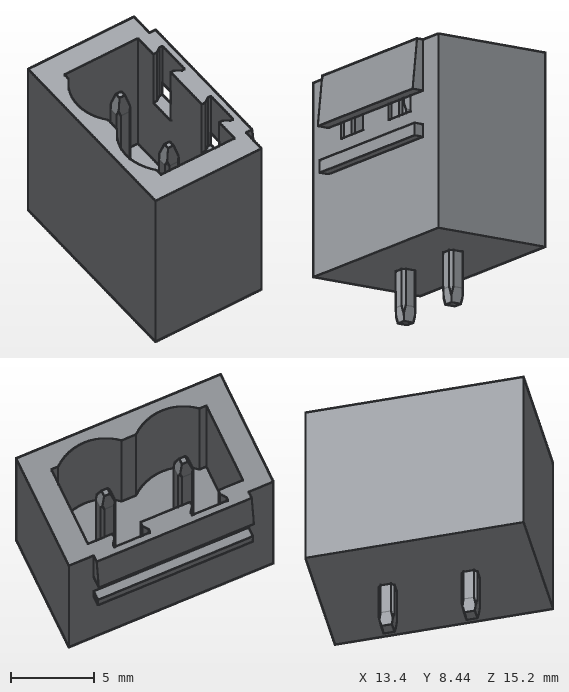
import cadquery as cq
import math

pin_count = 2
pitch = 5.08

housing_width = 13.36
housing_depth = 7.68
housing_height = 12.01
socket_width = 10.12
socket_front = 1.52
socket_back = 6.84
socket_floor = 3.04
bay_radius = 3.1

slot_inner_width = 1.82
slot_outer_width = 2.34
slot_floor = 7.87
slot_neck_depth = 0.27
slot_outer_depth = 0.21

ridge_bottom = 8.85
ridge_top_reach = 0.44
ridge_bottom_reach = 0.76
rib_bottom = 5.99
rib_height = 0.78
rib_reach = 0.62

pin_width = 1.0
pin_chamfer = 0.18
pin_y = 3.83
pin_bottom = -3.19
pin_top = 11.08
tail_tip_width = 0.67
tail_taper = 0.95
contact_tip_width = 0.4
contact_taper = 1.2

pin_positions = [(i - (pin_count - 1) / 2) * pitch for i in range(pin_count)]


def make_socket():
    """Rectangular socket with a round bay in front of every pin."""
    height = housing_height - socket_floor
    bottom = cq.Workplane("XY", origin=(0, 0, socket_floor))
    socket = bottom.center(0, (socket_front + socket_back) / 2).rect(
        socket_width, socket_back - socket_front
    ).extrude(height)
    half_chord = math.sqrt(bay_radius**2 - (pin_y - socket_front) ** 2)
    for x in pin_positions:
        bay = bottom.moveTo(x - half_chord, socket_front).threePointArc(
            (x, pin_y - bay_radius), (x + half_chord, socket_front)
        ).close().extrude(height)
        socket = socket.union(bay)
    return socket


def make_slot(x):
    """Key slot that widens towards the back face of the housing."""
    inner = slot_inner_width / 2
    outer = slot_outer_width / 2
    flare_start = socket_back + slot_neck_depth
    flare_end = housing_depth - slot_outer_depth
    right_side = [(inner, socket_back), (inner, flare_start), (outer, flare_end), (outer, housing_depth)]
    left_side = [(-half_width, y) for half_width, y in reversed(right_side)]
    profile = cq.Workplane("XY", origin=(x, 0, slot_floor)).polyline(right_side + left_side).close()
    return profile.extrude(housing_height - slot_floor)


def make_ridge():
    """Latch ridge whose back face leans outwards towards its lower edge."""
    profile = [
        (housing_depth, ridge_bottom),
        (housing_depth + ridge_bottom_reach, ridge_bottom),
        (housing_depth + ridge_top_reach, housing_height),
        (housing_depth, housing_height),
    ]
    return cq.Workplane("YZ").polyline(profile).close().extrude(socket_width / 2, both=True)


def make_rib():
    """Plain rib below the latch ridge."""
    rib = cq.Workplane("XY").box(socket_width, rib_reach, rib_height, centered=(True, False, False))
    return rib.translate((0, housing_depth, rib_bottom))


def make_taper(x, z, start_width, end_width, height):
    """Square frustum from start_width at z to end_width at z + height."""
    start = cq.Workplane("XY", origin=(x, pin_y, z)).rect(start_width, start_width)
    return start.workplane(offset=height).rect(end_width, end_width).loft(ruled=True)


def make_pin(x):
    """Square pin with chamfered long edges and a tapered point at each end."""
    length = pin_top - pin_bottom
    bar = cq.Workplane("XY", origin=(x, pin_y, pin_bottom)).rect(pin_width, pin_width).extrude(length)
    bar = bar.edges("|Z").chamfer(pin_chamfer)
    shank_bottom = pin_bottom + tail_taper
    shank_top = pin_top - contact_taper
    envelope = make_taper(x, shank_bottom, pin_width, pin_width, shank_top - shank_bottom)
    envelope = envelope.union(make_taper(x, pin_bottom, tail_tip_width, pin_width, tail_taper))
    envelope = envelope.union(make_taper(x, shank_top, pin_width, contact_tip_width, contact_taper))
    return bar.intersect(envelope)


def make_housing(pins):
    """Housing with socket, slots, ridge and rib, and a matching hole for each pin."""
    block = cq.Workplane("XY").box(
        housing_width, housing_depth, housing_height, centered=(True, False, False)
    )
    housing = block.cut(make_socket())
    for x in pin_positions:
        housing = housing.cut(make_slot(x))
    housing = housing.union(make_ridge()).union(make_rib())
    for pin in pins:
        housing = housing.cut(pin)
    return housing


pins = [make_pin(x) for x in pin_positions]
housing = make_housing(pins)

result = cq.Compound.makeCompound([housing.val(), *[pin.val() for pin in pins]])